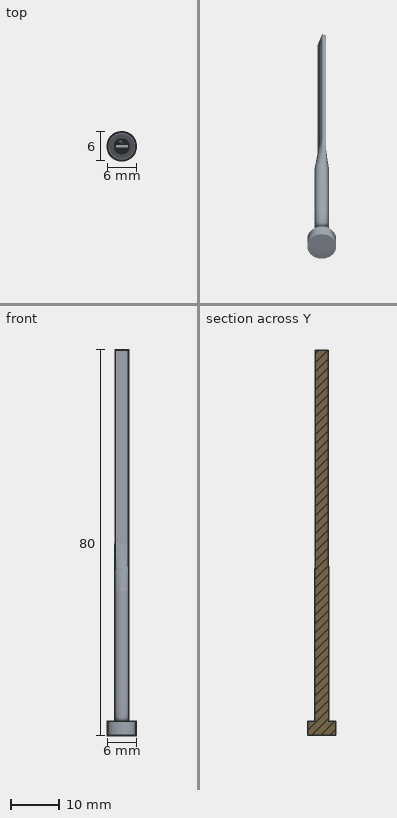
import cadquery as cq

total_length = 80.0
head_diameter = 6.0
head_height = 3.0
shaft_diameter = 3.0
blade_width = 2.8
blade_thickness = 0.8
blade_length = total_length / 2
transition_length = 10.0

half_width = blade_width / 2
half_thickness = blade_thickness / 2
shaft_radius = shaft_diameter / 2
blade_base_z = total_length - blade_length
shaft_top_z = blade_base_z - transition_length


def make_disc(diameter, bottom_z, top_z):
    """Cylinder whose side is two half faces that meet at -X and +X."""
    radius = diameter / 2
    return (
        cq.Workplane("XY", origin=(0, 0, bottom_z))
        .moveTo(-radius, 0)
        .threePointArc((0, -radius), (radius, 0))
        .threePointArc((0, radius), (-radius, 0))
        .close()
        .extrude(top_z - bottom_z, clean=False)
    )


def round_section():
    """Shaft circle as four arcs, with one arc end for each corner of the blade."""
    corner_y = half_thickness
    corner_x = (shaft_radius**2 - corner_y**2) ** 0.5
    return (
        cq.Workplane("XY", origin=(0, 0, shaft_top_z))
        .moveTo(-corner_x, -corner_y)
        .threePointArc((0, -shaft_radius), (corner_x, -corner_y))
        .threePointArc((shaft_radius, 0), (corner_x, corner_y))
        .threePointArc((0, shaft_radius), (-corner_x, corner_y))
        .threePointArc((-shaft_radius, 0), (-corner_x, -corner_y))
        .close()
        .val()
    )


def blade_section():
    """Blade rectangle, starting at the same corner as the round section."""
    corners = [
        (-half_width, -half_thickness),
        (half_width, -half_thickness),
        (half_width, half_thickness),
        (-half_width, half_thickness),
    ]
    return cq.Workplane("XY", origin=(0, 0, blade_base_z)).polyline(corners).close().val()


def make_transition():
    """Ruled blend from the round shaft to the flat blade."""
    return cq.Workplane(obj=cq.Solid.makeLoft([round_section(), blade_section()], True))


def make_blade():
    return (
        cq.Workplane("XY", origin=(0, 0, blade_base_z))
        .rect(blade_width, blade_thickness)
        .extrude(blade_length)
    )


head = make_disc(head_diameter, 0, head_height)
shaft = make_disc(shaft_diameter, head_height, shaft_top_z)

result = head.union(shaft, clean=False)
result = result.union(make_transition(), clean=False)
result = result.union(make_blade(), clean=False)